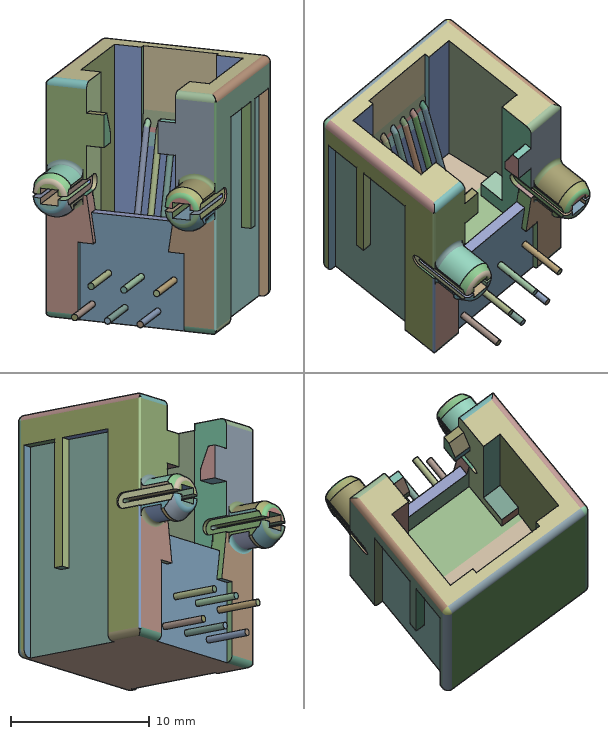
import cadquery as cq
import math


WIDTH, DEPTH, HEIGHT = 13.2, 11.5, 18.1
EDGE_ROUND = 0.5
FRONT_EDGE_ROUND = 0.15

CAVITY_WIDTH = 9.92
CAVITY_FRONT, CAVITY_BACK = 2.93, 9.81
FLOOR_Z = 5.01
FLOOR_CREST_Y = 5.6
FLOOR_FALL_ANGLE = 12.0
LEDGE_BACK, LEDGE_TOP = 5.09, 6.46

RELIEF_WIDTH = 5.8
RELIEF_PROFILE = [(10.2, HEIGHT), (10.2, 13.29), (10.15, 12.02), (10.1, 11.65), (CAVITY_BACK, 10.7)]

SLOT_WIDTH = 6.86
SLOT_FOOT_WIDTH = 5.8
TAPER_TOP = 9.6
PANEL_TOP = 6.0
PANEL_WIDTH = 8.18
PANEL_RECESS = 0.45
SILL_TOP, SILL_BACK = 8.2, 1.25

KEEPER_GAP = 4.18
KEEPER_BOTTOM, KEEPER_TOP = 13.34, 15.8
KEEPER_SHOULDER_Z = 14.2
KEEPER_LENGTH, KEEPER_FLAT = 1.32, 0.6

SIDE_RECESS_DEPTH = 0.75
SIDE_RECESS_FRONT, SIDE_RECESS_BACK = 2.99, 10.72
SIDE_RECESS_TOP = 15.75
RIB_FRONT, RIB_BACK, RIB_BOTTOM = 7.17, 7.9, 6.15

POST_X, POST_Z = 5.1, 10.19
POST_LENGTH = 3.2
POST_RADIUS = 1.61
POST_FLARE = 0.3
POST_FLATS = 2.79
TIP_RADIUS, TIP_ROUND = 1.21, 0.4
TIP_CONE_START = 2.46
BARB_RADIUS = 1.8
BARB_START, BARB_CONE_START = 1.85, 2.12
WEB_WIDTH = 2.68
GROOVE_HEIGHT, SLIT_HEIGHT = 1.2, 0.29
GROOVE_CENTER_Y = 1.55
BORE_WIDTH = 1.34

PIN_DIAMETER, PIN_LENGTH = 0.49, 3.13
PIN_PITCH = 1.27
LOWER_ROW_Z, UPPER_ROW_Z = 1.29, 3.76

CONTACT_COUNT = 6
CONTACT_DIAMETER = 0.47
CONTACT_PITCH = 1.01
CONTACT_TIP = (10.37, 12.53)
CONTACT_BEND = (9.88, 12.02)
CONTACT_FOOT = (7.5, 3.98)
ROOT = 0.18


def block(x_range, y_range, z_range):
    """Box spanning the three given ranges."""
    spans = [high - low for low, high in (x_range, y_range, z_range)]
    corner = (x_range[0], y_range[0], z_range[0])
    return cq.Workplane("XY").box(*spans, centered=False).translate(corner)


def centered_block(width, y_range, z_range):
    return block((-width / 2, width / 2), y_range, z_range)


def side_prism(points, x_start, x_end):
    """Prism along X over a (Y, Z) outline."""
    return cq.Workplane("YZ").polyline(points).close().extrude(x_end - x_start).translate((x_start, 0, 0))


def both_sides(shape):
    return shape.union(shape.mirror("YZ"))


def rod(start, end, diameter):
    axis = cq.Vector(*end) - cq.Vector(*start)
    return cq.Workplane(cq.Solid.makeCylinder(diameter / 2, axis.Length, cq.Vector(*start), axis))


def outer_block():
    envelope = centered_block(WIDTH, (0, DEPTH), (0, HEIGHT))
    rounded = envelope.edges("#Z or (|Z and >Y)").fillet(EDGE_ROUND)
    return rounded.intersect(envelope.edges("|Z and <Y").fillet(FRONT_EDGE_ROUND))


def plug_cavity():
    fall = (CAVITY_BACK - FLOOR_CREST_Y) * math.tan(math.radians(FLOOR_FALL_ANGLE))
    outline = [
        (CAVITY_FRONT, LEDGE_TOP),
        (LEDGE_BACK, LEDGE_TOP),
        (LEDGE_BACK, FLOOR_Z),
        (FLOOR_CREST_Y, FLOOR_Z),
        (CAVITY_BACK, FLOOR_Z - fall),
        (CAVITY_BACK, HEIGHT),
        (CAVITY_FRONT, HEIGHT),
    ]
    cavity = side_prism(outline, -CAVITY_WIDTH / 2, CAVITY_WIDTH / 2)
    relief_outline = RELIEF_PROFILE + [(CAVITY_BACK, HEIGHT)]
    relief = side_prism(relief_outline, -RELIEF_WIDTH / 2, RELIEF_WIDTH / 2)
    channel = centered_block(SLOT_WIDTH, (SILL_BACK, LEDGE_BACK), (FLOOR_Z, HEIGHT))
    return cavity.union(relief).union(channel)


def latch_slot():
    half, foot = SLOT_WIDTH / 2, SLOT_FOOT_WIDTH / 2
    outline = [(-half, HEIGHT), (-half, TAPER_TOP), (-foot, PANEL_TOP),
               (foot, PANEL_TOP), (half, TAPER_TOP), (half, HEIGHT)]
    slot = cq.Workplane("XZ").polyline(outline).close().extrude(-SILL_BACK)
    sill = centered_block(WIDTH, (PANEL_RECESS, SILL_BACK), (0, SILL_TOP))
    panel = centered_block(PANEL_WIDTH, (0, PANEL_RECESS), (0, PANEL_TOP))
    return slot.cut(sill).union(panel)


def latch_keepers():
    outline = [
        (0, KEEPER_BOTTOM),
        (KEEPER_LENGTH, KEEPER_BOTTOM),
        (KEEPER_LENGTH, KEEPER_SHOULDER_Z),
        (KEEPER_FLAT, KEEPER_TOP),
        (0, KEEPER_TOP),
    ]
    return both_sides(side_prism(outline, KEEPER_GAP / 2, SLOT_WIDTH / 2 + ROOT))


def side_recesses():
    x_range = (WIDTH / 2 - SIDE_RECESS_DEPTH, WIDTH / 2)
    recess = block(x_range, (SIDE_RECESS_FRONT, SIDE_RECESS_BACK), (0, SIDE_RECESS_TOP))
    rib = block(x_range, (RIB_FRONT, RIB_BACK), (RIB_BOTTOM, SIDE_RECESS_TOP))
    return both_sides(recess.cut(rib))


def post_blank(nose):
    """Post turned about the Y axis; nose lists the (radius, Y) points between the shank and the tip."""
    flare_radius = POST_RADIUS + POST_FLARE
    flare_mid = POST_FLARE * (1 - math.sqrt(0.5))
    turned = (
        cq.Workplane("XY")
        .moveTo(0, ROOT)
        .lineTo(flare_radius, ROOT)
        .lineTo(flare_radius, 0)
        .threePointArc((POST_RADIUS + flare_mid, -flare_mid), (POST_RADIUS, -POST_FLARE))
    )
    for point in nose:
        turned = turned.lineTo(*point)
    turned = turned.lineTo(TIP_RADIUS, -POST_LENGTH).lineTo(0, -POST_LENGTH).close()
    return turned.revolve(360, (0, 0, 0), (0, 1, 0)).faces("<Y").edges().fillet(TIP_ROUND)


def post():
    """Post with a plain upper half and a barbed lower half, flattened on both flanks."""
    plain = post_blank([(POST_RADIUS, -TIP_CONE_START)])
    barbed = post_blank([
        (POST_RADIUS, -BARB_START),
        (BARB_RADIUS, -BARB_START),
        (BARB_RADIUS, -BARB_CONE_START),
    ])
    y_range = (-POST_LENGTH, ROOT)
    upper = plain.intersect(centered_block(POST_FLATS, y_range, (0, HEIGHT)))
    lower = barbed.intersect(centered_block(POST_FLATS, y_range, (-HEIGHT, 0)))
    return upper.union(lower).translate((POST_X, 0, POST_Z))


def round_ended_slot(height, x_start, x_end):
    """Slot cut back from the post tip, with a half-round inner end."""
    half = height / 2
    return (
        cq.Workplane("YZ")
        .moveTo(-POST_LENGTH, -half)
        .lineTo(GROOVE_CENTER_Y, -half)
        .threePointArc((GROOVE_CENTER_Y + half, 0), (GROOVE_CENTER_Y, half))
        .lineTo(-POST_LENGTH, half)
        .close()
        .extrude(x_end - x_start)
        .translate((x_start, 0, POST_Z))
    )


def post_slots():
    """Thin slit through each post, widened beside the flanks and in the middle bore."""
    inner, outer = SLOT_WIDTH / 2 - ROOT, WIDTH / 2
    slots = round_ended_slot(SLIT_HEIGHT, inner, outer)
    wide_spans = [
        (inner, POST_X - WEB_WIDTH / 2),
        (POST_X - BORE_WIDTH / 2, POST_X + BORE_WIDTH / 2),
        (POST_X + WEB_WIDTH / 2, outer),
    ]
    for x_start, x_end in wide_spans:
        slots = slots.union(round_ended_slot(GROOVE_HEIGHT, x_start, x_end))
    return both_sides(slots)


def solder_pin(index):
    x = (index - (CONTACT_COUNT - 1) / 2) * PIN_PITCH
    z = LOWER_ROW_Z if index % 2 == 0 else UPPER_ROW_Z
    return rod((x, -PIN_LENGTH, z), (x, PANEL_RECESS + ROOT, z), PIN_DIAMETER)


def contact(index):
    """Wire that leaves the back wall, bends at a ball joint and runs down into the floor."""
    x = (index - (CONTACT_COUNT - 1) / 2) * CONTACT_PITCH
    tip, bend, foot = [(x, y, z) for y, z in (CONTACT_TIP, CONTACT_BEND, CONTACT_FOOT)]
    joint = cq.Workplane("XY").sphere(CONTACT_DIAMETER / 2).translate(bend)
    return rod(tip, bend, CONTACT_DIAMETER).union(joint).union(rod(bend, foot, CONTACT_DIAMETER))


result = outer_block().cut(plug_cavity()).cut(latch_slot()).cut(side_recesses())
result = result.union(latch_keepers()).union(both_sides(post())).cut(post_slots())
for number in range(CONTACT_COUNT):
    result = result.union(solder_pin(number)).union(contact(number))